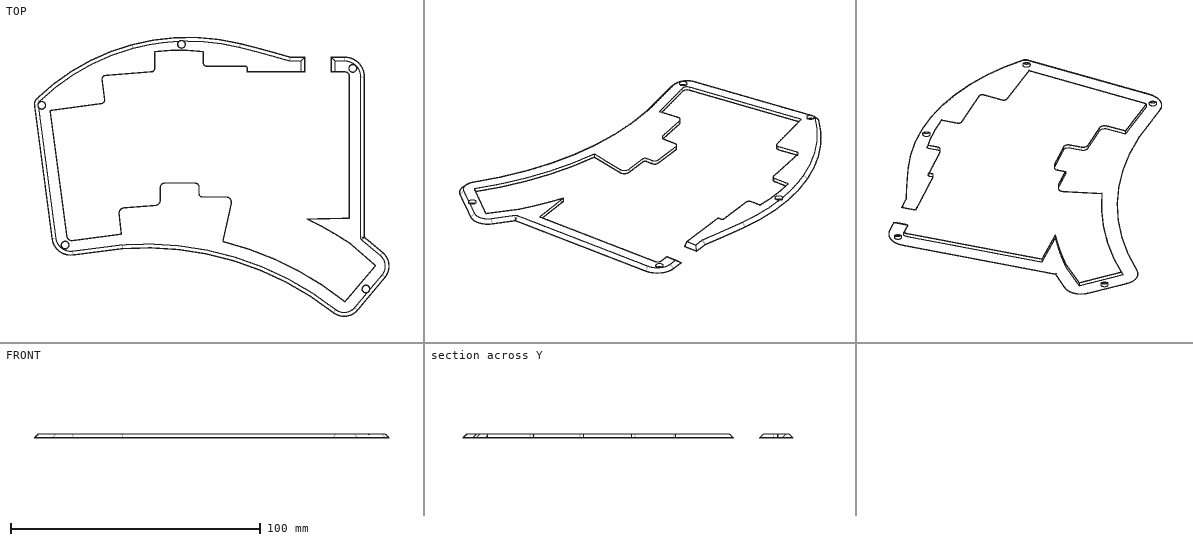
import cadquery as cq
import math

THICKNESS = 1.5
BEVEL_ANGLE = 45.0
HOLE_DIAMETER = 3.0
HOLE_CENTERS = [(3.0, 84.7), (59.0, 109.2), (127.7, 99.5), (12.4, 28.7), (133.0, 11.1)]

SWEEP_CENTER = (44.6, -94.3)
RIM_OUTER_RADIUS = 121.8
RIM_INNER_RADIUS = 128.2
SPUR_RADIUS = 148.3

LEFT_TOP = (-0.1, 86.3)
CROWN_RISE = (17.2, 99.8)
CROWN_JOINTS = [(39.1, 109.0), (82.6, 109.5)]
TOP_EDGE_Y = 104.1
CROWN_END = (102.5, TOP_EDGE_Y)
RIGHT_EDGE_X = 132.4
RIGHT_TOP = (RIGHT_EDGE_X, TOP_EDGE_Y)
SHOULDER = (RIGHT_EDGE_X, 31.8)
ELBOW = (145.2, 21.2)
TOE_X = 125.1
LEFT_BOTTOM = (8.1, 23.7)
RIM_START_X = 35.4

UPPER_STEP_Y = 98.1
INNER_RIGHT_X = 126.3
SPUR_TOP_Y = 39.5
NOTCH_LEFT_X = 48.3
NOTCH_RIGHT_X = 67.7
NOTCH_TOP_Y = 106.2
NOTCH_CROWN_Y = 106.8
INNER_ELBOW = (136.8, 20.5)

GAP_LEFT_X = 108.5
GAP_RIGHT_X = 119.0
GAP_DEPTH = 8.5


def sweep_point(x, radius):
    """Point at x on the +Y half of the circle of the given radius about SWEEP_CENTER."""
    center_x, center_y = SWEEP_CENTER
    return (x, center_y + math.sqrt(radius ** 2 - (x - center_x) ** 2))


def sweep_arc(path, start_x, end_x, radius):
    """Continue a path along a sweep circle from start_x to end_x."""
    middle = sweep_point((start_x + end_x) / 2, radius)
    return path.threePointArc(middle, sweep_point(end_x, radius))


def rounded_outline(path, corner_radii):
    """Close a path and round the listed (corner, radius) pairs; returns the wire."""
    face = cq.Face.makeFromWires(path.close().val())
    for corner, radius in corner_radii:
        target = cq.Vector(*corner)
        vertex = min(face.Vertices(), key=lambda v: (v.Center() - target).Length)
        face = face.fillet2D(radius, [vertex])
    return face.outerWire()


def extrude_outline(wire, taper=0.0):
    return cq.Workplane("XY").newObject([wire]).toPending().extrude(THICKNESS, taper=taper)


def make_plate():
    """Solid plate inside the outer silhouette, bevelled all round."""
    toe = sweep_point(TOE_X, RIM_OUTER_RADIUS)
    path = cq.Workplane("XY").moveTo(*LEFT_TOP)
    path = path.threePointArc(CROWN_RISE, CROWN_JOINTS[0])
    for joint in (CROWN_JOINTS[1], CROWN_END):
        path = path.tangentArcPoint(joint, relative=False)
    for corner in (RIGHT_TOP, SHOULDER, ELBOW, toe):
        path = path.lineTo(*corner)
    path = sweep_arc(path, TOE_X, RIM_START_X, RIM_OUTER_RADIUS)
    path = path.lineTo(*LEFT_BOTTOM)
    corner_radii = [
        (LEFT_TOP, 3.1),
        (RIGHT_TOP, 8.0),
        (ELBOW, 7.1),
        (toe, 7.1),
        (LEFT_BOTTOM, 7.5),
    ]
    return extrude_outline(rounded_outline(path, corner_radii), BEVEL_ANGLE)


def make_opening():
    """Inner opening with stepped upper edge, lower tab and pointed spur."""
    rim_start_x = 75.6
    rim_end_x = 124.5
    spur_root_x = 126.5
    spur_tip_x = 109.3

    lower_corners = [
        ((6.4, 82.6), 0),
        ((13.4, 30.3), 2.0),
        ((34.8, 33.1), 0),
        ((33.7, 43.5), 2.3),
        ((50.5, 44.8), 2.1),
        ((50.5, 53.6), 1.8),
        ((66.1, 53.6), 1.7),
        ((66.1, 48.0), 1.1),
        ((79.6, 48.0), 2.3),
    ]
    right_corners = [
        ((INNER_RIGHT_X, SPUR_TOP_Y), 0),
        ((INNER_RIGHT_X, UPPER_STEP_Y), 1.7),
        ((85.3, UPPER_STEP_Y), 0),
        ((85.3, 100.4), 0.7),
        ((NOTCH_RIGHT_X, 100.4), 1.4),
        ((NOTCH_RIGHT_X, NOTCH_TOP_Y), 0),
    ]
    upper_left_corners = [
        ((NOTCH_LEFT_X, 98.2), 1.4),
        ((27.0, 96.5), 1.4),
        ((28.5, 85.6), 1.5),
    ]

    path = cq.Workplane("XY").polyline([corner for corner, _ in lower_corners])
    path = path.lineTo(*sweep_point(rim_start_x, RIM_INNER_RADIUS))
    path = sweep_arc(path, rim_start_x, rim_end_x, RIM_INNER_RADIUS)
    path = path.lineTo(*INNER_ELBOW)
    path = path.lineTo(*sweep_point(spur_root_x, SPUR_RADIUS))
    path = sweep_arc(path, spur_root_x, spur_tip_x, SPUR_RADIUS)
    for corner, _ in right_corners:
        path = path.lineTo(*corner)
    notch_middle = ((NOTCH_LEFT_X + NOTCH_RIGHT_X) / 2, NOTCH_CROWN_Y)
    path = path.threePointArc(notch_middle, (NOTCH_LEFT_X, NOTCH_TOP_Y))
    for corner, _ in upper_left_corners:
        path = path.lineTo(*corner)

    corners = lower_corners + right_corners + upper_left_corners
    return extrude_outline(rounded_outline(path, [item for item in corners if item[1] > 0]))


def make_gap():
    """Cut through the top rim, wider at the top so both rim ends are bevelled."""
    spread = THICKNESS * math.tan(math.radians(BEVEL_ANGLE))
    section = [
        (GAP_LEFT_X, 0),
        (GAP_RIGHT_X, 0),
        (GAP_RIGHT_X + spread, THICKNESS),
        (GAP_LEFT_X - spread, THICKNESS),
    ]
    profile = cq.Workplane("XZ", origin=(0, TOP_EDGE_Y, 0)).polyline(section).close()
    return profile.extrude(GAP_DEPTH)


def make_holes():
    return cq.Workplane("XY").pushPoints(HOLE_CENTERS).circle(HOLE_DIAMETER / 2).extrude(THICKNESS)


result = make_plate().cut(make_opening()).cut(make_gap()).cut(make_holes())